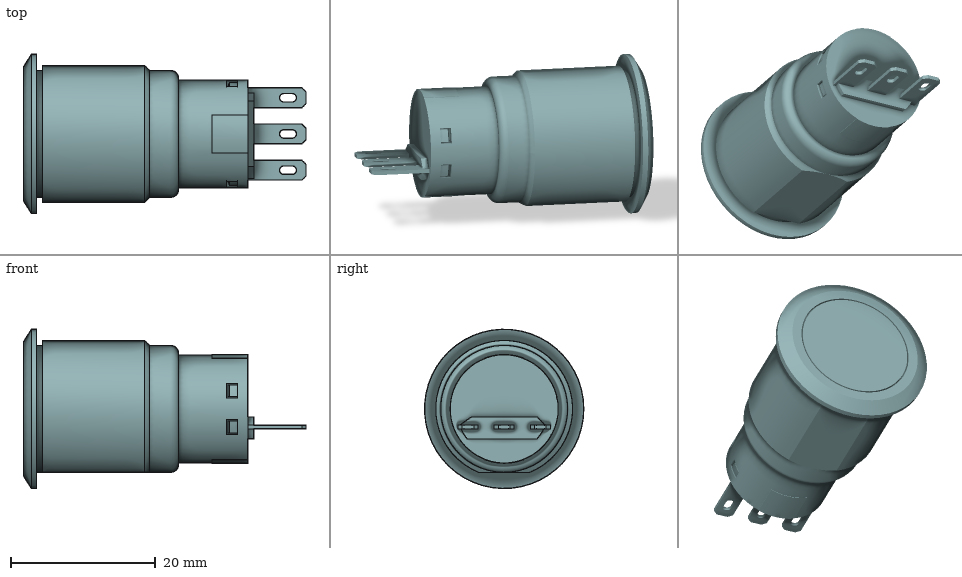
import cadquery as cq
import math


total_length = 39.0
rim_start = 1.1
flange_end = 1.85
neck_end = 2.6
barrel_end = 16.75
collar_end = 21.4
housing_end = 30.95

flange_diameter = 22.0
face_diameter = 18.45
barrel_diameter = 18.88
collar_diameter = 17.5
collar_round = 1.1
housing_diameter = 14.9

button_gap_outer_diameter = 15.8
button_gap_inner_diameter = 15.4
button_gap_depth = 0.4

pad_start = 26.0
pad_width = 5.25
pad_diameter = 15.0

window_start = 28.0
window_end = 29.52
window_height = 2.03
window_offset = 2.5
window_floor_radius = 6.7
tooth_clearance = 0.2
tooth_ramp_length = 0.25
tooth_radius = 7.3

block_thickness = 0.8
block_top_z = -1.1
block_tip_z = -2.25
block_bottom_z = -4.15
block_flat_y_min = -4.5
block_flat_y_max = 4.52
block_tip_y_min = -6.15
block_tip_y_max = 5.7

terminal_pitch = 5.0
terminal_count = 3
terminal_width = 2.75
terminal_thickness = 0.5
terminal_z = -2.5
terminal_chamfer = 0.6
terminal_hole_center = 36.5
terminal_hole_length = 2.3
terminal_hole_width = 1.15


def tube(start, end, inner_radius, outer_radius):
    """Ring of rectangular section around the X axis."""
    return (
        cq.Workplane("YZ", origin=(start, 0, 0))
        .circle(outer_radius)
        .circle(inner_radius)
        .extrude(end - start)
    )


def box(x_min, x_max, y_center, y_size, z_center, z_size):
    """Block given by its X limits and its centre and size along Y and Z."""
    return cq.Workplane("XY").box(x_max - x_min, y_size, z_size).translate(
        ((x_min + x_max) / 2, y_center, z_center)
    )


def turned_body():
    """Flange, neck, barrel, collar and housing turned in one piece."""
    barrel_radius = barrel_diameter / 2
    collar_radius = collar_diameter / 2
    collar_start = barrel_end + barrel_radius - collar_radius
    round_start = collar_end - collar_round
    round_middle = collar_round * math.sqrt(0.5)
    return (
        cq.Workplane("XY")
        .moveTo(0, 0)
        .lineTo(0, face_diameter / 2)
        .lineTo(rim_start, flange_diameter / 2)
        .lineTo(flange_end, flange_diameter / 2)
        .lineTo(flange_end, collar_radius)
        .lineTo(neck_end, collar_radius)
        .lineTo(neck_end, barrel_radius)
        .lineTo(barrel_end, barrel_radius)
        .lineTo(collar_start, collar_radius)
        .lineTo(round_start, collar_radius)
        .threePointArc(
            (round_start + round_middle, collar_radius - collar_round + round_middle),
            (collar_end, collar_radius - collar_round),
        )
        .lineTo(collar_end, housing_diameter / 2)
        .lineTo(housing_end, housing_diameter / 2)
        .lineTo(housing_end, 0)
        .close()
        .revolve(360, (0, 0, 0), (1, 0, 0))
    )


def barrel_flat():
    """Material below the barrel, removed to leave a flat level with the neck."""
    cut_height = barrel_diameter / 2
    cut_z = -collar_diameter / 2 - cut_height / 2
    return box(neck_end, collar_end, 0, barrel_diameter, cut_z, cut_height)


def housing_pads():
    """Thin curved pads on the top and bottom of the housing."""
    ring = tube(pad_start, housing_end, window_floor_radius, pad_diameter / 2)
    return ring.intersect(box(pad_start, housing_end, 0, pad_width, 0, flange_diameter))


def latch_limits(z_center, height):
    """Slab that trims a ring to the sectors on both sides at one latch level."""
    return box(window_start, window_end, 0, flange_diameter, z_center, height)


def latch_window(z_center):
    """Pair of pockets on the -Y and +Y sides of the housing."""
    ring = tube(window_start, window_end, window_floor_radius, flange_diameter / 2)
    return ring.intersect(latch_limits(z_center, window_height))


def latch_tooth(z_center):
    """Pair of ramped teeth standing on the pocket floors."""
    root_radius = window_floor_radius - tooth_clearance
    ramp_start = window_start + tooth_clearance
    ring = (
        cq.Workplane("XY")
        .moveTo(ramp_start, root_radius)
        .lineTo(ramp_start, window_floor_radius)
        .lineTo(ramp_start + tooth_ramp_length, tooth_radius)
        .lineTo(window_end, tooth_radius)
        .lineTo(window_end, root_radius)
        .close()
        .revolve(360, (0, 0, 0), (1, 0, 0))
    )
    return ring.intersect(latch_limits(z_center, window_height - 2 * tooth_clearance))


def block_end(tip_y):
    """Middle and lower points of a block end: an arc about the switch axis that starts at the tip."""
    radius = math.hypot(tip_y, block_tip_z)
    tip_angle = math.asin(block_tip_z / radius)
    bottom_angle = math.asin(block_bottom_z / radius)
    return [
        (math.copysign(radius * math.cos(angle), tip_y), radius * math.sin(angle))
        for angle in ((tip_angle + bottom_angle) / 2, bottom_angle)
    ]


def terminal_block():
    """Block on the rear face with chamfered upper corners and curved ends below them."""
    min_middle, min_bottom = block_end(block_tip_y_min)
    max_middle, max_bottom = block_end(block_tip_y_max)
    return (
        cq.Workplane("YZ", origin=(housing_end, 0, 0))
        .moveTo(block_flat_y_min, block_top_z)
        .lineTo(block_flat_y_max, block_top_z)
        .lineTo(block_tip_y_max, block_tip_z)
        .threePointArc(max_middle, max_bottom)
        .lineTo(*min_bottom)
        .threePointArc(min_middle, (block_tip_y_min, block_tip_z))
        .close()
        .extrude(block_thickness)
    )


def terminal(y_center):
    """Solder tab with chamfered tip corners and a slotted eye."""
    tab = box(housing_end, total_length, y_center, terminal_width, terminal_z, terminal_thickness)
    tab = tab.edges(">X and |Z").chamfer(terminal_chamfer)
    eye = (
        cq.Workplane("XY", origin=(terminal_hole_center, y_center, terminal_z))
        .slot2D(terminal_hole_length, terminal_hole_width)
        .extrude(terminal_thickness, both=True)
    )
    return tab.cut(eye)


button_gap = tube(0, button_gap_depth, button_gap_inner_diameter / 2, button_gap_outer_diameter / 2)

result = turned_body().cut(barrel_flat()).cut(button_gap).union(housing_pads())

for latch_z in (-window_offset, window_offset):
    result = result.cut(latch_window(latch_z)).union(latch_tooth(latch_z))

result = result.union(terminal_block())
for index in range(terminal_count):
    offset = index - (terminal_count - 1) / 2
    result = result.union(terminal(offset * terminal_pitch))